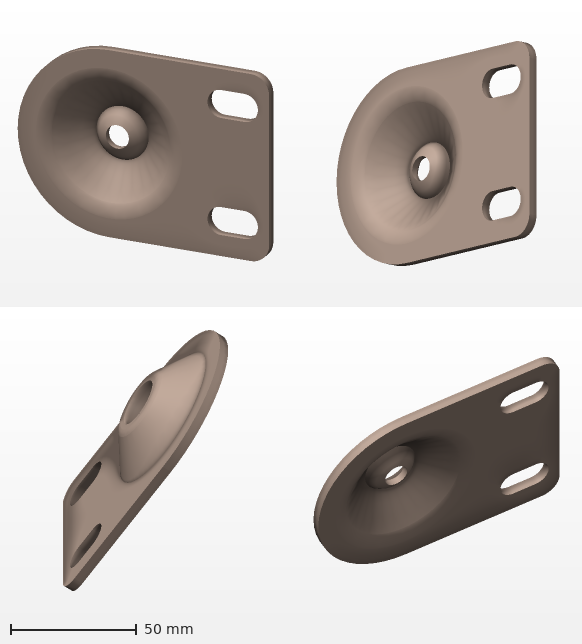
import cadquery as cq
import math

length = 110.0
width = 80.0
thickness = 4.0
corner_radius = 8.0
round_end_radius = width / 2
right_edge = length - round_end_radius

slot_length = 22.0
slot_width = 12.0
slot_spacing = 50.0
slot_edge_gap = 5.0

total_depth = 16.0
wall = 4.0
mouth_radius = 32.0
mouth_round = 10.0
back_round = 5.0
cone_angle = math.atan(3 / 4)

dome_outer_radius = 14.0
dome_inner_radius = 11.2
dome_center_y = 21.0
hole_diameter = 10.0

inner_base_radius = mouth_radius - mouth_round * math.tan(cone_angle / 2)
outer_base_radius = inner_base_radius + wall / math.sin(cone_angle)
outer_back_radius = outer_base_radius - total_depth / math.tan(cone_angle)
inner_apex_y = inner_base_radius * math.tan(cone_angle)


def revolve_about_y(profile):
    return profile.close().revolve(360, (0, 0, 0), (0, 1, 0))


def ball(radius):
    return cq.Workplane("XY").sphere(radius).translate((0, dome_center_y, 0))


def make_plate():
    plate = (
        cq.Workplane("XZ")
        .moveTo(0, round_end_radius)
        .lineTo(right_edge, round_end_radius)
        .lineTo(right_edge, -round_end_radius)
        .lineTo(0, -round_end_radius)
        .threePointArc((-round_end_radius, 0), (0, round_end_radius))
        .close()
        .extrude(-thickness)
    )
    plate = plate.edges("|Y and >X").fillet(corner_radius)
    slot_x = right_edge - slot_edge_gap - slot_length / 2
    slots = (
        cq.Workplane("XZ")
        .pushPoints([(slot_x, side * slot_spacing / 2) for side in (-1, 1)])
        .slot2D(slot_length, slot_width)
        .extrude(-thickness)
    )
    return plate.cut(slots)


def make_outer_cone():
    """Solid frustum behind the plate, from inside the plate to the rounded back rim."""
    start_y = thickness / 2
    start_radius = outer_base_radius - start_y / math.tan(cone_angle)
    profile = (
        cq.Workplane("XY")
        .moveTo(0, start_y)
        .lineTo(start_radius, start_y)
        .lineTo(outer_back_radius, total_depth)
        .lineTo(0, total_depth)
    )
    return revolve_about_y(profile).edges(">Y").fillet(back_round)


def make_hollow():
    """Inner cone with a rounded mouth, leaving the ball of the central dome standing."""
    half_angle = cone_angle / 2
    flank_start_radius = mouth_radius - mouth_round * math.sin(cone_angle)
    flank_start_y = mouth_round * (1 - math.cos(cone_angle))
    arc_mid = (
        mouth_radius - mouth_round * math.sin(half_angle),
        mouth_round * (1 - math.cos(half_angle)),
    )
    profile = (
        cq.Workplane("XY")
        .moveTo(0, 0)
        .lineTo(mouth_radius, 0)
        .threePointArc(arc_mid, (flank_start_radius, flank_start_y))
        .lineTo(0, inner_apex_y)
    )
    return revolve_about_y(profile).cut(ball(dome_outer_radius))


def make_hole():
    return cq.Workplane("XZ").circle(hole_diameter / 2).extrude(-total_depth)


result = (
    make_plate()
    .union(make_outer_cone())
    .cut(make_hollow())
    .cut(ball(dome_inner_radius))
    .cut(make_hole())
)